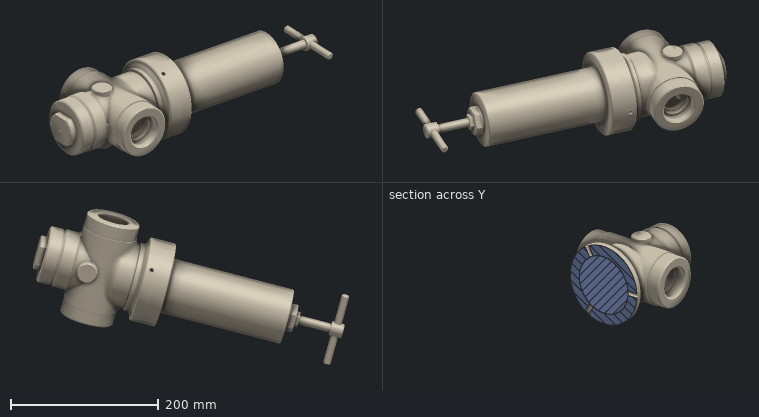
import cadquery as cq
import math


plug_head_end = -88.5
plug_cap_end = -79.0
plug_cap_start = -61.5
body_end = -59.0
body_top = 43.5
ring_bottom = 45.0
flange_joint = 74.0
flange_top = 91.5
bonnet_top = 262.7
washer_top = 265.5
lock_nut_top = 274.0
jam_nut_top = 279.0
hub_bottom = 324.2
stem_top = 341.5

barrel_radius = 38.0
barrel_half_length = 52.5
barrel_flat_y = -36.5
port_end_radius = 36.5
port_end_x = 72.45
port_end_chamfer = 1.7
cup_radius = 44.5
cup_bottom = 15.0
cup_corner_radius = 9.0
cup_blend_radius = 7.7
spigot_radius = 42.5
lower_tube_radius = 37.5
lower_tube_blend_radius = 1.7
lower_neck_radius = 40.0
lower_neck_cone_start = barrel_flat_y
lower_neck_start = -39.5
lower_neck_end = -56.5
corner_web_radius = 42.5
gauge_boss_radius = 13.8
gauge_boss_y = -18.0
gauge_boss_height = 44.5
gauge_boss_chamfer = 1.5
gauge_boss_blend_radius = 1.7

port_radius = 21.5
port_depth = 15.5
port_chamfer = 2.0
middle_bore_radius = 18.5
middle_bore_depth = 22.5
inner_bore_radius = 17.0
inner_bore_depth = 30.0
passage_near_y = -6.5
passage_corner_y = -14.5
passage_corner_z = 7.5
passage_far_y = -16.8

flange_radius = 58.0
flange_edge_chamfer = 1.5
ring_flange_bottom = 56.0
ring_cone_radius = 52.5
ring_neck_radius = 47.5
ring_neck_top = 51.5
vent_hole_radius = 3.0
vent_hole_y = 65.0
vent_hole_count = 3
vent_hole_first_angle = 60

bonnet_radius = 38.0
bonnet_edge_chamfer = 1.5
bonnet_blend_radius = 4.0

lock_nut_flats = 35.0
lock_nut_turned_radius = 19.8
lock_nut_chamfer = 1.5
washer_radius = 19.5
jam_nut_flats = 19.0

stem_radius = 6.0
hub_radius = 10.0
hub_chamfer = 1.5
bar_y = 332.0
bar_radius = 5.0
bar_length = 100.0
bar_chamfer = 1.7

plug_neck_radius = 38.0
plug_cap_radius = 39.0
plug_cap_chamfer = 1.7
plug_head_radius = 23.5
plug_head_flats = 39.0
plug_head_chamfer_width = 2.0
plug_head_chamfer_height = 1.5
center_mark_radius = 1.7
center_mark_depth = 2.0


def y_cylinder(radius, y_start, y_end):
    """Cylinder on the valve axis between two heights."""
    return cq.Workplane("XZ", origin=(0, y_start, 0)).circle(radius).extrude(y_start - y_end)


def x_cylinder(radius, x_start, x_end):
    """Cylinder on the flow axis between two X positions."""
    return cq.Workplane("YZ", origin=(x_start, 0, 0)).circle(radius).extrude(x_end - x_start)


def y_revolve(profile):
    """Solid turned about the valve axis from (radius, y) points."""
    return cq.Workplane("XY").polyline(profile).close().revolve(360, (0, 0, 0), (0, 1, 0))


def y_hexagon(across_flats, y_start, y_end):
    """Hexagonal prism on the valve axis, with two corners on the X axis."""
    across_corners = across_flats / math.cos(math.pi / 6)
    plane = cq.Workplane("XZ", origin=(0, y_start, 0))
    return plane.polygon(6, across_corners).extrude(y_start - y_end)


def is_cup_blend_edge(edge):
    """True for the edges where the cup meets the barrel."""
    center = edge.Center()
    radius_at_center = math.hypot(center.y, center.z)
    return edge.geomType() == "BSPLINE" and center.y > 0 and radius_at_center < cup_radius


def is_tube_blend_edge(edge):
    """True for the edges where the lower tube meets the barrel."""
    box = edge.BoundingBox()
    return edge.geomType() == "BSPLINE" and box.ymax < 0 and box.ymin > lower_neck_start


def is_boss_blend_edge(edge):
    """True for the edges where a gauge boss meets the barrel and the lower tube."""
    box = edge.BoundingBox()
    near_boss = max(-box.xmin, box.xmax) < gauge_boss_radius + gauge_boss_blend_radius
    is_outside = min(abs(box.zmin), abs(box.zmax)) > barrel_radius / 2
    return edge.geomType() == "BSPLINE" and near_boss and is_outside and box.ymax < 0


def blend_edges(solid, is_blend_edge, radius):
    """Fillet the edges of the solid that the test picks."""
    picked = [edge for edge in solid.edges().vals() if is_blend_edge(edge)]
    return solid.newObject(picked).fillet(radius)


def make_corner_webs():
    """Flared webs that fill the corners between the barrel flats and the lower neck."""
    flare = y_revolve([
        (0, barrel_flat_y),
        (corner_web_radius, barrel_flat_y),
        (lower_neck_radius, lower_neck_start),
        (0, lower_neck_start),
    ])
    flat_width = 2 * math.sqrt(barrel_radius**2 - barrel_flat_y**2)
    return flare.intersect(cq.Workplane("XY").box(4 * corner_web_radius, 4 * corner_web_radius, flat_width))


def make_body_shell():
    """Barrel with the cup above, the lower tube below and the stepped port ends."""
    barrel = x_cylinder(barrel_radius, -barrel_half_length, barrel_half_length)
    barrel = barrel.cut(y_cylinder(2 * barrel_radius, 2 * barrel_flat_y, barrel_flat_y))

    cup = y_cylinder(cup_radius, cup_bottom, body_top + cup_radius)
    cup = cup.faces("<Y").edges().fillet(cup_corner_radius)
    shell = blend_edges(barrel.union(cup), is_cup_blend_edge, cup_blend_radius)
    shell = shell.cut(y_cylinder(2 * cup_radius, body_top, body_top + 2 * cup_radius))

    lower_tube = y_revolve([
        (0, 0),
        (lower_tube_radius, 0),
        (lower_tube_radius, lower_neck_cone_start),
        (lower_neck_radius, lower_neck_start),
        (lower_neck_radius, lower_neck_end),
        (plug_neck_radius, body_end),
        (0, body_end),
    ])
    shell = shell.union(lower_tube)
    shell = blend_edges(shell, is_tube_blend_edge, lower_tube_blend_radius)

    port_ends = x_cylinder(port_end_radius, -port_end_x, port_end_x).edges().chamfer(port_end_chamfer)
    return shell.union(port_ends).union(make_corner_webs())


def make_gauge_boss(side):
    """Round boss above (side = 1) or below (side = -1) the barrel."""
    boss = cq.Workplane("XY", origin=(0, gauge_boss_y, 0)).circle(gauge_boss_radius)
    boss = boss.extrude(side * gauge_boss_height)
    outer_face = ">Z" if side > 0 else "<Z"
    return boss.faces(outer_face).edges().chamfer(gauge_boss_chamfer)


def make_port_cutter(side):
    """Bore with three steps entering from the +X (side = 1) or -X (side = -1) end."""
    depths_and_radii = [
        (0, 0),
        (0, port_radius + port_chamfer),
        (port_chamfer, port_radius),
        (port_depth, port_radius),
        (port_depth, middle_bore_radius),
        (middle_bore_depth, middle_bore_radius),
        (middle_bore_depth, inner_bore_radius),
        (inner_bore_depth, inner_bore_radius),
        (inner_bore_depth, 0),
    ]
    points = [(side * (port_end_x - depth), radius) for depth, radius in depths_and_radii]
    return cq.Workplane("XY").polyline(points).close().revolve(360, (0, 0, 0), (1, 0, 0))


def make_passage_cutter():
    """Lens-shaped passage through the wall between the two ports."""
    half_length = port_end_x - inner_bore_depth
    return (
        cq.Workplane("YZ", origin=(-half_length, 0, 0))
        .moveTo(passage_corner_y, -passage_corner_z)
        .threePointArc((passage_near_y, 0), (passage_corner_y, passage_corner_z))
        .threePointArc((passage_far_y, 0), (passage_corner_y, -passage_corner_z))
        .close()
        .extrude(2 * half_length)
    )


def make_valve_body():
    """Valve body with its spigot, gauge bosses, ports and passage."""
    body = make_body_shell()
    for side in (1, -1):
        body = body.union(make_gauge_boss(side))
    body = blend_edges(body, is_boss_blend_edge, gauge_boss_blend_radius)
    for side in (1, -1):
        body = body.cut(make_port_cutter(side))
    body = body.cut(make_passage_cutter())
    return body.union(y_cylinder(spigot_radius, body_top, flange_joint))


def make_flange_ring():
    """Lower flange ring around the body spigot, with vent holes in its rim."""
    ring = y_revolve([
        (spigot_radius, ring_bottom),
        (ring_neck_radius, ring_bottom),
        (ring_neck_radius, ring_neck_top),
        (ring_cone_radius, ring_flange_bottom),
        (flange_radius - flange_edge_chamfer, ring_flange_bottom),
        (flange_radius, ring_flange_bottom + flange_edge_chamfer),
        (flange_radius, flange_joint),
        (spigot_radius, flange_joint),
    ])
    for index in range(vent_hole_count):
        angle = vent_hole_first_angle + index * 360 / vent_hole_count
        hole = cq.Workplane("YZ", origin=(spigot_radius, vent_hole_y, 0)).circle(vent_hole_radius)
        hole = hole.extrude(flange_radius)
        ring = ring.cut(hole.rotate((0, 0, 0), (0, 1, 0), -angle))
    return ring


def make_bonnet():
    """Spring bonnet: a long cylinder blended into the upper flange."""
    blend_top = flange_top + bonnet_blend_radius
    blend_outer_radius = bonnet_radius + bonnet_blend_radius
    blend_offset = bonnet_blend_radius * (1 - math.sqrt(0.5))
    return (
        cq.Workplane("XY")
        .moveTo(0, flange_joint)
        .lineTo(flange_radius, flange_joint)
        .lineTo(flange_radius, flange_top - flange_edge_chamfer)
        .lineTo(flange_radius - flange_edge_chamfer, flange_top)
        .lineTo(blend_outer_radius, flange_top)
        .threePointArc((bonnet_radius + blend_offset, flange_top + blend_offset), (bonnet_radius, blend_top))
        .lineTo(bonnet_radius, bonnet_top - bonnet_edge_chamfer)
        .lineTo(bonnet_radius - bonnet_edge_chamfer, bonnet_top)
        .lineTo(0, bonnet_top)
        .close()
        .revolve(360, (0, 0, 0), (0, 1, 0))
    )


def make_lock_nut():
    """Large hexagon nut with turned corners and a washer face, bored for the stem."""
    blank = y_cylinder(lock_nut_turned_radius, washer_top, lock_nut_top)
    blank = blank.edges().chamfer(lock_nut_chamfer)
    nut = blank.intersect(y_hexagon(lock_nut_flats, washer_top, lock_nut_top))
    nut = nut.union(y_cylinder(washer_radius, bonnet_top, washer_top))
    return nut.cut(y_cylinder(stem_radius, bonnet_top, lock_nut_top))


def make_jam_nut():
    """Small hexagon nut, bored for the stem."""
    nut = y_hexagon(jam_nut_flats, lock_nut_top, jam_nut_top)
    return nut.cut(y_cylinder(stem_radius, lock_nut_top, jam_nut_top))


def make_stem():
    """Adjusting stem with a cross-drilled hub at its top."""
    hub = y_cylinder(hub_radius, hub_bottom, stem_top).faces(">Y").edges().chamfer(hub_chamfer)
    stem = y_cylinder(stem_radius, bonnet_top, hub_bottom).union(hub)
    cross_hole = x_cylinder(bar_radius, -hub_radius, hub_radius).translate((0, bar_y, 0))
    return stem.cut(cross_hole)


def make_handle_bar():
    """Round bar through the hub, chamfered at both ends."""
    bar = x_cylinder(bar_radius, -bar_length / 2, bar_length / 2).edges().chamfer(bar_chamfer)
    return bar.translate((0, bar_y, 0))


def make_plug():
    """Bottom plug: a relief neck, a round cap and a head with two flats."""
    neck = y_cylinder(plug_neck_radius, plug_cap_start, body_end)
    cap = y_cylinder(plug_cap_radius, plug_cap_end, plug_cap_start)
    cap = cap.faces("<Y").edges().chamfer(plug_cap_chamfer)

    head = y_revolve([
        (0, plug_cap_end),
        (plug_head_radius, plug_cap_end),
        (plug_head_radius, plug_head_end + plug_head_chamfer_height),
        (plug_head_radius - plug_head_chamfer_width, plug_head_end),
        (0, plug_head_end),
    ])
    head_height = plug_cap_end - plug_head_end
    flats = cq.Workplane("XY").box(2 * plug_head_radius, head_height, plug_head_flats)
    head = head.intersect(flats.translate((0, plug_head_end + head_height / 2, 0)))

    center_mark = y_cylinder(center_mark_radius, plug_head_end, plug_head_end + center_mark_depth)
    return neck.union(cap).union(head).cut(center_mark)


valve_body = make_valve_body()
flange_ring = make_flange_ring()
bonnet = make_bonnet()
lock_nut = make_lock_nut()
jam_nut = make_jam_nut()
stem = make_stem()
handle_bar = make_handle_bar()
plug = make_plug()

bodies = [valve_body, flange_ring, bonnet, lock_nut, jam_nut, stem, handle_bar, plug]
result = cq.Compound.makeCompound([body.solids().val() for body in bodies])